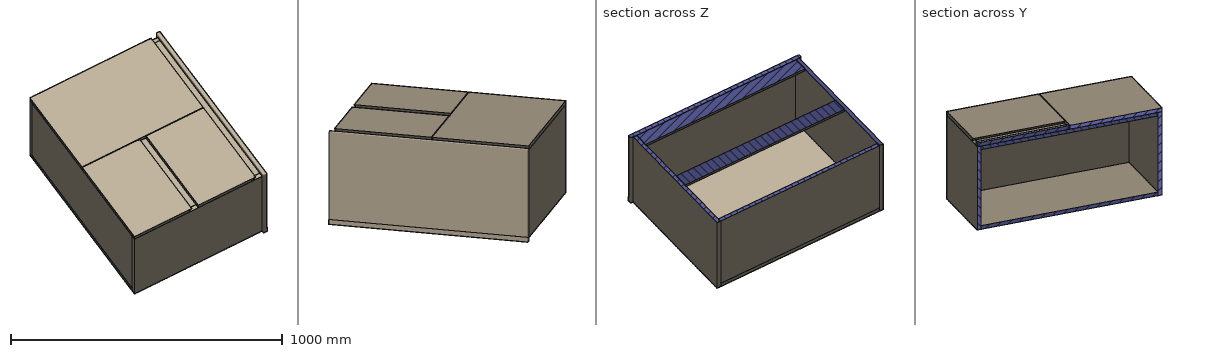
import cadquery as cq

counter_width = 760.0
total_length = 569.0
total_height = 360.0

counter_thickness = 16.0
counter_round = 2.65
lip_rise = 3.0
lip_depth = 18.0
lip_round = 2.0

overhang = 10.0
panel = 17.0
rail_width = 61.0

front_thickness = 15.0
front_setback = 1.5
front_gap = 2.0
grip_gap = 28.0

carcass_width = counter_width - 2 * overhang
carcass_length = total_length - lip_rise - counter_thickness
carcass_height = total_height - front_setback - front_thickness
inner_width = carcass_width - 2 * panel
front_width = (carcass_width - front_gap) / 2
front_length = carcass_length - grip_gap
drawer_length = (front_length - grip_gap) / 2


def block(width, length, height, x, y, z):
    """Box whose lowest corner is at (x, y, z)."""
    return cq.Workplane("XY").box(width, length, height, centered=False).translate((x, y, z))


def side_panel(x):
    return block(panel, carcass_length, carcass_height, x, 0, 0)


def back_panel():
    """Panel on the floor between the sides."""
    return block(inner_width, carcass_length, panel, -inner_width / 2, 0, 0)


def bottom_panel():
    """Panel closing the -Y end between the sides, standing on the back panel."""
    return block(inner_width, panel, carcass_height - panel, -inner_width / 2, 0, panel)


def rail(y):
    """Cross rail between the side panels, flush with their front edges."""
    return block(inner_width, rail_width, panel, -inner_width / 2, y, carcass_height - panel)


def front(x, y, length):
    """Door or drawer front with its +Y edge undercut at 45 degrees as a finger grip."""
    face_z = carcass_height + front_thickness
    end_y = y + length
    outline = [
        (y, carcass_height),
        (end_y - front_thickness, carcass_height),
        (end_y, face_z),
        (y, face_z),
    ]
    return cq.Workplane("YZ", origin=(x, 0, 0)).polyline(outline).close().extrude(front_width)


def countertop():
    """Slab with a raised lip along its -Z edge and rounded edges on its ends and its +Z face."""
    slab_y = carcass_length + counter_thickness
    outline = [
        (carcass_length, 0),
        (total_length, 0),
        (total_length, lip_depth),
        (slab_y, lip_depth),
        (slab_y, total_height),
        (carcass_length, total_height),
    ]
    profile = cq.Workplane("YZ", origin=(-counter_width / 2, 0, 0)).polyline(outline).close()
    slab = profile.extrude(counter_width)
    lip_rounded = slab.edges("|X and >Y").edges(">Z").fillet(lip_round)
    return lip_rounded.faces(">Z or <X or >X").edges("not <Z").fillet(counter_round)


left_side = side_panel(-carcass_width / 2)
right_side = side_panel(inner_width / 2)
back = back_panel()
bottom = bottom_panel()
top_rail = rail(carcass_length - rail_width)
middle_rail = rail(drawer_length + (grip_gap - rail_width) / 2)
door = front(-carcass_width / 2, 0, front_length)
lower_drawer = front(front_gap / 2, 0, drawer_length)
upper_drawer = front(front_gap / 2, drawer_length + grip_gap, drawer_length)
counter = countertop()

bodies = [
    left_side,
    right_side,
    back,
    bottom,
    top_rail,
    middle_rail,
    door,
    lower_drawer,
    upper_drawer,
    counter,
]
result = cq.Compound.makeCompound([body.val() for body in bodies])